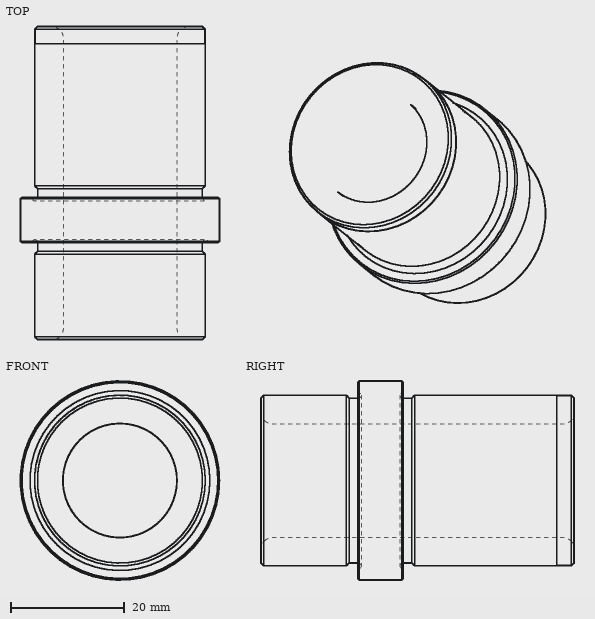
import cadquery as cq
import math

body_radius = 15.0
bore_radius = 10.0
collar_radius = 17.5
collar_length = 8.0
rear_length = 30.0
front_length = 17.0

pilot_radius = 14.95
pilot_length = 3.0

pilot_chamfer = 0.45
front_chamfer = 0.5
collar_chamfer = 0.3
mouth_radius = 2.0

groove_width = 2.0
groove_depth = 0.5
groove_fillet = 0.5
undercut_radius = 15.8

collar_rear = 0.0
collar_front = collar_rear - collar_length
rear_end = collar_rear + rear_length
front_end = collar_front - front_length


def revolve_about_y(profile):
    """Turn a closed profile, drawn as (radius, Y), into a solid about the Y axis."""
    return profile.close().revolve(360, (0, 0, 0), (0, 1, 0))


def body():
    """Solid cylinder with chamfered ends and the lead-in at the rear."""
    profile = cq.Workplane("XY").polyline([
        (0, front_end),
        (body_radius - front_chamfer, front_end),
        (body_radius, front_end + front_chamfer),
        (body_radius, rear_end - pilot_length),
        (pilot_radius, rear_end - pilot_length),
        (pilot_radius, rear_end - pilot_chamfer),
        (pilot_radius - pilot_chamfer, rear_end),
        (0, rear_end),
    ])
    return revolve_about_y(profile)


def collar():
    """Chamfered ring around the body."""
    disc = cq.Workplane("XZ", origin=(0, collar_rear, 0)).circle(collar_radius).extrude(collar_length)
    return disc.edges().chamfer(collar_chamfer)


def relief_groove(face, outward):
    """Ring to cut beside a collar face; outward (+1 or -1) points away from the collar."""
    floor_radius = body_radius - groove_depth
    diagonal = groove_fillet * math.sqrt(0.5)
    fillet_center_radius = floor_radius + groove_fillet
    wall_foot_radius = fillet_center_radius + diagonal
    wall_foot_depth = undercut_radius - wall_foot_radius
    fillet_center_depth = wall_foot_depth - diagonal

    def at_depth(depth):
        """Y position at a depth below the collar face."""
        return face - outward * depth

    profile = (
        cq.Workplane("XY")
        .moveTo(undercut_radius, face)
        .lineTo(wall_foot_radius, at_depth(wall_foot_depth))
        .threePointArc(
            (fillet_center_radius - diagonal, at_depth(fillet_center_depth + diagonal)),
            (floor_radius, at_depth(fillet_center_depth)),
        )
        .lineTo(floor_radius, at_depth(groove_depth - groove_width))
        .lineTo(body_radius, at_depth(-groove_width))
        .lineTo(body_radius, face)
    )
    return revolve_about_y(profile)


def bore():
    """Through bore with a rounded mouth at each end."""
    mouth_edge = bore_radius + mouth_radius
    profile = (
        cq.Workplane("XY")
        .moveTo(0, front_end)
        .lineTo(mouth_edge, front_end)
        .radiusArc((bore_radius, front_end + mouth_radius), mouth_radius)
        .lineTo(bore_radius, rear_end - mouth_radius)
        .radiusArc((mouth_edge, rear_end), mouth_radius)
        .lineTo(0, rear_end)
    )
    return revolve_about_y(profile)


result = body().union(collar())
result = result.cut(relief_groove(collar_rear, 1))
result = result.cut(relief_groove(collar_front, -1))
result = result.cut(bore())